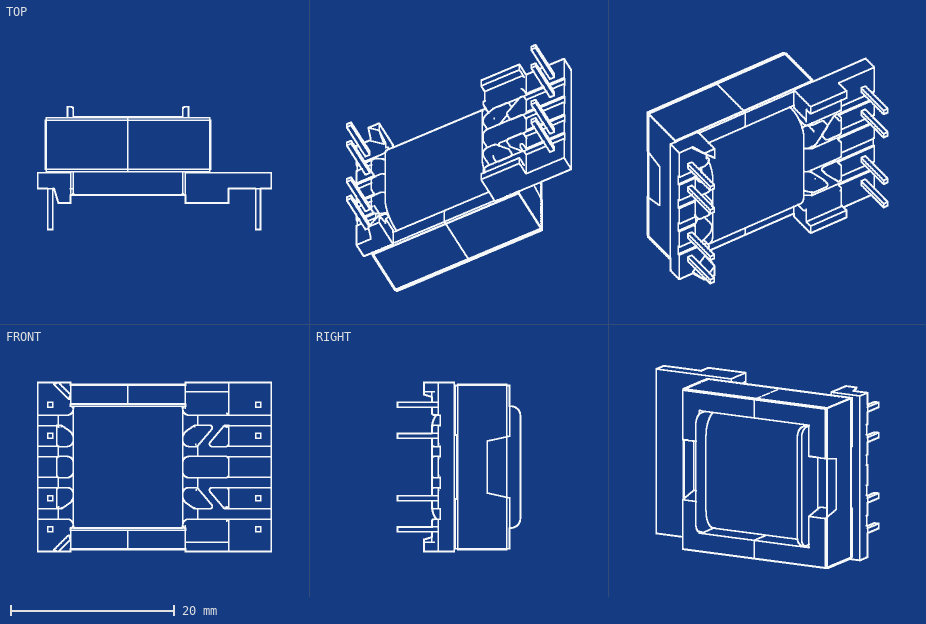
import cadquery as cq


core_length = 20.0
core_width = 20.0
core_height = 6.65
core_front = 0.1
core_back = core_front + core_height
window_half_length = 7.7
window_half_width = 7.7
leg_width = 8.9
leg_thickness = 3.6
front_recess_depth = 0.3
front_recess_width = 7.8
leg_front = core_front + front_recess_depth
leg_back = leg_front + leg_thickness
notch_top_width = 7.55
notch_floor_width = 6.35

tape_thickness = 0.1
tape_width = 6.0
tape_front = core_front + (core_height - tape_width) / 2

winding_half_length = 6.68
winding_width = 14.92
winding_front = -2.75
winding_back = 6.85
winding_corner = 2.7

hole_clearance = 0.1
tube_wall = 0.5
hole_width = leg_width + 2 * hole_clearance
hole_front = leg_front - hole_clearance
hole_back = leg_back + hole_clearance
flange_thickness = 0.73
flange_inner = winding_half_length
flange_outer = flange_inner + flange_thickness
flange_back = 8.09
flange_corner = 1.2
flange_edge_round = 0.33

plate_thickness = 1.95
plate_front = -plate_thickness
plate_width = 20.696
plate_inner = 7.02
bobbin_length = 28.58
left_end = -11.05
right_end = left_end + bobbin_length
half_plate = plate_width / 2

terminal_pitch = 3.81
pad_width = 2.54
half_pad = pad_width / 2
rib_width = 2.6
half_rib = rib_width / 2
rim_start = 2 * terminal_pitch - half_pad
slot_depth = 0.2
slot_floor = plate_front + slot_depth
ramp_start = 8.5
ramp_depth = 1.41
ramp_end = slot_floor + ramp_depth
rib_height = 0.8
rib_front = plate_front - rib_height
rib_root_depth = 1.5
rib_root = slot_floor + rib_root_depth
rib_corner = 0.77
rib_end_corner = 0.31
rib_edge_round = 0.3
left_rib_end = -8.7
right_rib_end = 12.3

side_low = terminal_pitch - half_rib
side_high = terminal_pitch + half_rib
side_corner_round = 1.15
slant_corner_z = 4.09
left_slant_x = -8.14
right_slant_x = 8.14
gap_shift = 2.2
gap_near_x = 8.45
gap_far_x = 9.6

foot_front = -3.71
foot_strip_start = 9.18
wedge_base = 2.03
wedge_base_diagonal = 2.28
wedge_tip = 1.5

pin_size = 0.62
pin_length = 5.0
left_pin_x = -9.5
pin_column_spacing = 25.4
right_pin_x = left_pin_x + pin_column_spacing
pin_rows = [-2 * terminal_pitch, -terminal_pitch, terminal_pitch, 2 * terminal_pitch]

pick_margin = 0.02


def box(x, y, z):
    """Box from three (low, high) ranges."""
    size = [high - low for low, high in (x, y, z)]
    return cq.Workplane("XY").box(*size, centered=False).translate((x[0], y[0], z[0]))


def prism(points, back, front):
    """Extrude an X-Z outline along Y from its back to its front."""
    return cq.Workplane("XZ", origin=(0, back, 0)).polyline(points).close().extrude(back - front)


def round_upright(body, x, z, radius):
    """Round the edge that runs along Y at (x, z)."""
    near_edge = cq.selectors.BoxSelector(
        (x - pick_margin, foot_front, z - pick_margin), (x + pick_margin, flange_back, z + pick_margin))
    return body.edges("|Y").edges(near_edge).fillet(radius)


def core_half(side):
    """One E half; side is -1 for the left and +1 for the right."""
    half_length = core_length / 2
    half_width = core_width / 2
    x_all = (0, half_length)
    half = box(x_all, (core_front, core_back), (-half_width, half_width))
    half = half.cut(box((0, window_half_length), (core_front, core_back),
                        (-window_half_width, window_half_width)))
    half = half.cut(box(x_all, (core_front, leg_front),
                        (-front_recess_width / 2, front_recess_width / 2)))
    notch = (cq.Workplane("YZ")
             .polyline([(leg_back, -notch_floor_width / 2), (core_back, -notch_top_width / 2),
                        (core_back, notch_top_width / 2), (leg_back, notch_floor_width / 2)])
             .close().extrude(half_length))
    half = half.cut(notch)
    half = half.union(box((0, window_half_length), (leg_front, leg_back), (-leg_width / 2, leg_width / 2)))
    return half if side > 0 else half.mirror("YZ")


def make_tape():
    """Thin rectangular band around both core halves."""
    ring = cq.Workplane("XZ", origin=(0, tape_front, 0))
    return (ring.rect(core_length + 2 * tape_thickness, core_width + 2 * tape_thickness)
            .rect(core_length, core_width).extrude(-tape_width))


def tube_blank():
    """Solid core of the bobbin tube, which the winding is wound on."""
    half_tube = hole_width / 2 + tube_wall
    return box((-winding_half_length, winding_half_length),
               (hole_front - tube_wall, hole_back + tube_wall), (-half_tube, half_tube))


def make_winding():
    """Rounded coil that fills the space between the flanges."""
    coil = box((-winding_half_length, winding_half_length), (winding_front, winding_back),
               (-winding_width / 2, winding_width / 2))
    return coil.edges("|X").fillet(winding_corner).cut(tube_blank())


def flange():
    """Right flange, rounded on the edges towards the winding."""
    plate = box((flange_inner, flange_outer), (plate_front, flange_back),
                (-winding_width / 2, winding_width / 2))
    plate = plate.edges("|X and >Y").fillet(flange_corner)
    return plate.faces("<X").edges("not <Y").fillet(flange_edge_round)


def slotted_plate(side, end):
    """Terminal plate and flange of one side, cleared between the outer blocks."""
    low, high = sorted((side * plate_inner, end))
    wall = flange() if side > 0 else flange().mirror("YZ")
    plate = box((low, high), (plate_front, 0), (-half_plate, half_plate)).union(wall)
    clearing = (cq.Workplane("XY", origin=(0, 0, -rim_start))
                .polyline([(side * flange_inner, ramp_end), (side * ramp_start, slot_floor),
                           (end, slot_floor), (end, plate_front),
                           (side * flange_inner, plate_front)])
                .close().extrude(2 * rim_start))
    plate = plate.cut(clearing)
    for z in (-rim_start, rim_start):
        plate = round_upright(plate, side * flange_inner, z, rib_corner)
    return plate


def terminal_pads(start, end):
    """Raised strips that carry the pins between the wire slots."""
    pads = cq.Workplane("XY")
    for z in (-terminal_pitch, 0, terminal_pitch):
        pads = pads.union(box(tuple(sorted((start, end))), (plate_front, slot_floor),
                              (z - half_pad, z + half_pad)))
    return pads


def round_front(rib):
    """Round all the front edges of a rib."""
    return rib.faces("<Y").edges().fillet(rib_edge_round)


def middle_rib(side, end):
    """Straight rib on the centre line, from the winding to its outer end."""
    inner = side * flange_inner
    rib = box(tuple(sorted((inner, end))), (rib_front, rib_root), (-half_rib, half_rib))
    for z in (-half_rib, half_rib):
        rib = round_upright(rib, inner, z, rib_corner)
        rib = round_upright(rib, end, z, rib_end_corner)
    return round_front(rib)


def round_winding_end(rib, inner):
    """Round the two corners of a side rib that face the winding."""
    rib = round_upright(rib, inner, side_low, rib_corner)
    return round_upright(rib, inner, slant_corner_z, side_corner_round)


def left_side_rib():
    inner = -flange_inner
    rib = prism([(inner, side_low), (inner, slant_corner_z), (left_slant_x, side_high),
                 (left_rib_end, side_high), (left_rib_end, side_low)], rib_root, rib_front)
    rib = round_winding_end(rib, inner)
    rib = round_upright(rib, left_rib_end, side_low, rib_end_corner)
    return round_front(rib)


def right_side_rib():
    inner = flange_inner
    rib = prism([(inner, side_low), (gap_near_x, side_low), (gap_near_x + gap_shift, side_high),
                 (right_slant_x, side_high), (inner, slant_corner_z)], rib_root, rib_front)
    rib = round_winding_end(rib, inner)
    rib = round_upright(rib, gap_near_x + gap_shift, side_high, rib_end_corner)
    rib = round_upright(rib, gap_near_x, side_low, rib_end_corner)
    return round_front(rib)


def right_wedge_rib():
    """Triangular rib on the far side of the slanted wire gap."""
    rib = prism([(gap_far_x, side_low), (right_rib_end, side_low), (right_rib_end, side_high),
                 (gap_far_x + gap_shift, side_high)], rib_root, rib_front)
    rib = round_upright(rib, gap_far_x, side_low, rib_end_corner)
    rib = round_upright(rib, right_rib_end, side_low, rib_end_corner)
    return round_front(rib)


def right_outer_rib():
    """Step beside the right foot, reaching over the flange."""
    flange_edge = winding_width / 2
    rib = prism([(flange_inner, rim_start), (right_rib_end, rim_start),
                 (right_rib_end, foot_strip_start), (plate_inner, foot_strip_start),
                 (plate_inner, flange_edge), (flange_inner, flange_edge)], plate_front, rib_front)
    rib = round_upright(rib, flange_inner, flange_edge, flange_edge_round)
    rib = round_upright(rib, flange_inner, rim_start, rib_corner)
    sharp_zone = cq.selectors.BoxSelector(
        (plate_inner - pick_margin, foot_front, flange_edge - pick_margin),
        (right_rib_end - pick_margin, flange_back, half_plate))
    front_edges = rib.faces("<Y").edges()
    rounded_edges = [edge for edge in front_edges.vals() if not sharp_zone.filter([edge])]
    return rib.newObject(rounded_edges).fillet(rib_edge_round)


def right_foot():
    return box((plate_inner, right_rib_end), (foot_front, plate_front), (foot_strip_start, half_plate))


def corner_frustum(base_offsets, tip_offsets):
    """Loft between two outlines given as (X, Z) offsets from the plate's inner upper corner."""
    wires = []
    for offsets, y in ((base_offsets, plate_front), (tip_offsets, foot_front)):
        points = [cq.Vector(-plate_inner - dx, y, half_plate - dz) for dx, dz in offsets]
        wires.append(cq.Wire.makePolygon(points, close=True))
    return cq.Workplane("XY").add(cq.Solid.makeLoft(wires, True))


def left_foot():
    """Corner wedge: a tapering square post with a leaning diagonal face."""
    def square(side):
        return [(0, 0), (side, 0), (side, side), (0, side)]

    def triangle(leg):
        return [(0, 0), (leg, 0), (0, leg)]
    post = corner_frustum(square(wedge_base), square(wedge_tip))
    return post.intersect(corner_frustum(triangle(wedge_base_diagonal), triangle(wedge_tip)))


def pin(x, z):
    half = pin_size / 2
    return box((x - half, x + half), (plate_front - pin_length, plate_front), (z - half, z + half))


def make_bobbin():
    """Tube, flanges, plates, ribs, feet and pins as one solid, with the core hole through it."""
    body = tube_blank()
    body = body.union(slotted_plate(-1, left_end)).union(slotted_plate(1, right_end))
    body = body.union(terminal_pads(left_end, left_rib_end))
    body = body.union(terminal_pads(right_rib_end, right_end))
    body = body.union(middle_rib(-1, left_rib_end)).union(middle_rib(1, right_rib_end))
    for feature in (left_side_rib(), right_side_rib(), right_wedge_rib(),
                    right_outer_rib(), right_foot(), left_foot()):
        body = body.union(feature).union(feature.mirror("XY"))
    for x in (left_pin_x, right_pin_x):
        for z in pin_rows:
            body = body.union(pin(x, z))
    hole = box((-flange_outer, flange_outer), (hole_front, hole_back), (-hole_width / 2, hole_width / 2))
    return body.cut(hole)


left_core = core_half(-1)
right_core = core_half(1)
tape = make_tape()
winding = make_winding()
bobbin = make_bobbin()

bodies = (left_core, right_core, tape, winding, bobbin)
result = cq.Compound.makeCompound([body.solids().val() for body in bodies])